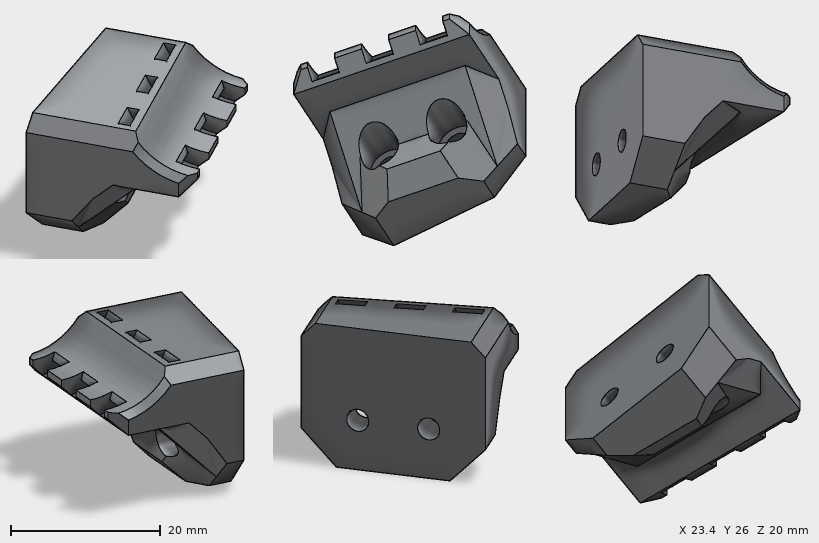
import cadquery as cq
import math

length = 23.43
width = 26.0
height = 20.0
half_width = width / 2

mount_taper = math.radians(8.4)
lip_underside = 12.0
lip_chamfer = 2.0
boss_back_x = -12.0
boss_gusset_z = 7.0
saddle_radius = 10.0
saddle_z = 25.0

top_chamfer = 2.0
bottom_chamfer = 5.0
saddle_chamfer = 1.0
gusset_chamfer = 3.0
boss_base_chamfer = 3.0
boss_side_chamfer = 5.0

strap_width = 4.0
strap_pitch = 8.0
channel_inner_radius = 11.0
channel_outer_radius = 12.5
mouth_top_x = -3.3
mouth_bottom_x = -2.95

screw_pitch = 10.0
screw_z = 7.0
screw_diameter = 3.1
head_diameter = 5.6
head_floor_x = -15.0

margin = 5.2


def extrude_profile(points, depth):
    """Extrude an XZ outline by depth, centred on y = 0."""
    return cq.Workplane("XZ").polyline(points).close().extrude(depth / 2, both=True)


def saddle_cylinder(radius, depth):
    """Cylinder along y on the saddle axis, centred on y = 0."""
    return cq.Workplane("XZ").center(0, saddle_z).circle(radius).extrude(depth / 2, both=True)


def half_space(point, normal):
    """Large block on the side of a plane to which its normal points."""
    size = 4 * width
    plane = cq.Plane(origin=point, normal=normal)
    return cq.Workplane(plane).rect(size, size).extrude(size)


def cut_beyond(body, point, normal):
    """Remove everything on the side of a plane to which its normal points."""
    return body.cut(half_space(point, normal))


def make_body():
    gusset_top_x = boss_back_x + lip_underside - boss_gusset_z
    body = extrude_profile(
        [
            (-length, 0),
            (boss_back_x - boss_base_chamfer, 0),
            (boss_back_x, boss_base_chamfer),
            (boss_back_x, boss_gusset_z),
            (gusset_top_x, lip_underside),
            (-lip_chamfer, lip_underside),
            (0, lip_underside + lip_chamfer),
            (0, height),
            (-length, height),
        ],
        width,
    )
    body = body.cut(saddle_cylinder(saddle_radius, width))
    mount_normal = (-math.cos(mount_taper), math.sin(mount_taper), 0)
    return cut_beyond(body, (-length, -half_width, 0), mount_normal)


def chamfer_side(body, side):
    """Chamfer the edges along one side; side is -1 or +1 in y."""
    face_y = side * half_width
    body = cut_beyond(body, (0, face_y, height - top_chamfer), (0, side, 1))
    body = cut_beyond(body, (0, face_y, bottom_chamfer), (0, side, -1))
    body = cut_beyond(body, (-lip_chamfer, face_y, 0), (1, side, 0))

    gusset_edge = (boss_back_x, side * (half_width - gusset_chamfer), boss_gusset_z)
    diagonal = math.sqrt(0.5)
    beyond_gusset = half_space(gusset_edge, (diagonal, side, -diagonal))
    beyond_gusset = beyond_gusset.union(half_space(gusset_edge, (1, 0, -1)))

    boss_edge = (boss_back_x - boss_side_chamfer, face_y, bottom_chamfer)
    beyond_boss = half_space(boss_edge, (math.sqrt(2), side, -1))
    below_lip = cq.Workplane("XY").box(
        4 * width, 2 * width, lip_underside + margin, centered=(True, True, False)
    ).translate((0, 0, -margin))
    body = body.cut(below_lip.intersect(beyond_gusset).intersect(beyond_boss))

    rim_plane = cq.Plane(
        origin=(0, side * (half_width - saddle_chamfer), saddle_z),
        xDir=(1, 0, 0),
        normal=(0, side, 0),
    )
    rim = (
        cq.Workplane(rim_plane)
        .circle(saddle_radius)
        .workplane(offset=saddle_chamfer)
        .circle(saddle_radius + saddle_chamfer)
        .loft(ruled=True)
    )
    return body.cut(rim)


def make_strap_channel():
    """Curved strap passage whose roof ends at a sloped mouth, leaving it open through the lip."""
    mouth_top_z = saddle_z - math.sqrt(saddle_radius**2 - mouth_top_x**2)
    mouth_bottom_z = saddle_z - math.sqrt(channel_inner_radius**2 - mouth_bottom_x**2)
    mouth = extrude_profile(
        [
            (mouth_top_x, height),
            (mouth_top_x, mouth_top_z),
            (mouth_bottom_x, mouth_bottom_z),
            (mouth_bottom_x, lip_underside),
            (margin, lip_underside),
            (margin, height),
        ],
        strap_width,
    )
    roof = saddle_cylinder(channel_inner_radius, strap_width).cut(mouth)
    return saddle_cylinder(channel_outer_radius, strap_width).cut(roof)


def cut_screw_hole(body, y):
    face = cq.Workplane("YZ").center(y, screw_z)
    through = face.circle(screw_diameter / 2).extrude(length + margin, both=True)
    head = face.workplane(offset=head_floor_x).circle(head_diameter / 2).extrude(length)
    return body.cut(through).cut(head)


result = make_body()
for side in (-1, 1):
    result = chamfer_side(result, side)
    result = cut_screw_hole(result, side * screw_pitch / 2)
for index in (-1, 0, 1):
    result = result.cut(make_strap_channel().translate((0, index * strap_pitch, 0)))